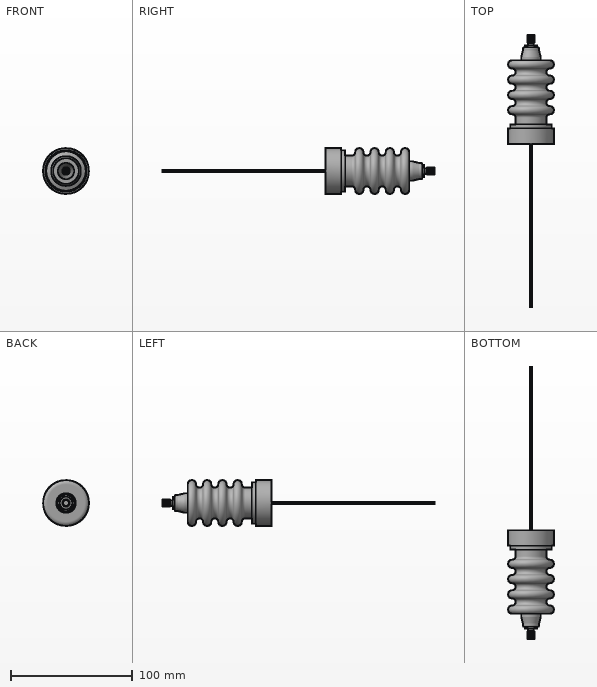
import cadquery as cq
import math

total_length = 225.3
stud_tip_y = 90.3
lead_tip_y = stud_tip_y - total_length

cup_diameter = 38.0
cup_radius = cup_diameter / 2
cup_height = 12.8
step_radius = 17.3
step_height = 3.4
step_top_y = cup_height + step_height
lip_recess_radius = 17.1
lip_recess_depth = 2.3
cavity_radius = 16.2

boss_face_y = 3.2
boss_face_radius = 10.5
boss_base_y = 11.3
boss_base_radius = 12.5
cavity_floor_y = 12.8

shed_count = 4
rim_width = 7.0
rim_radius = rim_width / 2
valley_radius = 2.7
shed_pitch = 12.6
rim_center_radius = cup_radius - rim_radius
core_radius = rim_center_radius - valley_radius
first_shed_y = 28.0
insulator_end_y = first_shed_y + (shed_count - 1) * shed_pitch + rim_radius

cap_radius = 8.0
cap_straight_length = 2.7
cap_straight_end_y = insulator_end_y + cap_straight_length
cap_nose_radius = 6.8
cap_taper_length = 5.5
cap_nose_y = cap_straight_end_y + cap_taper_length
cap_nose_length = 1.4
cap_round_y = cap_nose_y + cap_nose_length
cap_round = 1.4
washer_radius = 5.2
washer_y = cap_round_y + cap_round
washer_thickness = 1.4
washer_end_y = washer_y + washer_thickness

thread_diameter = 6.0
thread_radius = thread_diameter / 2
stud_root_radius = 2.5
thread_pitch = 1.0
thread_turns = 7

bore_mouth_radius = 6.8
bore_end_radius = 3.2
bore_depth = 33.8
bore_end_y = boss_face_y + bore_depth
lead_radius = 1.01
stud_end_length = 2.3
stud_end_y = bore_end_y - stud_end_length


def revolve_about_y(profile):
    return profile.close().revolve(360, (0, 0, 0), (0, 1, 0))


def make_body():
    """Cup, insulator, end cap and threaded stud."""
    profile = (
        cq.Workplane("XY")
        .moveTo(0, boss_face_y)
        .lineTo(boss_face_radius, boss_face_y)
        .lineTo(boss_base_radius, boss_base_y)
        .lineTo(cavity_radius, cavity_floor_y)
        .lineTo(cavity_radius, lip_recess_depth)
        .lineTo(lip_recess_radius, lip_recess_depth)
        .lineTo(lip_recess_radius, 0)
        .lineTo(cup_radius, 0)
        .lineTo(cup_radius, cup_height)
        .lineTo(step_radius, cup_height)
        .lineTo(step_radius, step_top_y)
        .lineTo(core_radius, step_top_y)
    )

    diagonal = valley_radius * math.sqrt(0.5)
    for shed in range(shed_count):
        rim_y = first_shed_y + shed * shed_pitch
        lower_valley_y = rim_y - rim_radius - valley_radius
        upper_valley_y = rim_y + rim_radius + valley_radius
        profile = profile.lineTo(core_radius, lower_valley_y).threePointArc(
            (rim_center_radius - diagonal, lower_valley_y + diagonal),
            (rim_center_radius, rim_y - rim_radius),
        ).threePointArc((cup_radius, rim_y), (rim_center_radius, rim_y + rim_radius))
        if shed < shed_count - 1:
            profile = profile.threePointArc(
                (rim_center_radius - diagonal, upper_valley_y - diagonal),
                (core_radius, upper_valley_y),
            )

    cap_round_diagonal = cap_round * math.sqrt(0.5)
    profile = (
        profile.lineTo(cap_radius, insulator_end_y)
        .lineTo(cap_radius, cap_straight_end_y)
        .lineTo(cap_nose_radius, cap_nose_y)
        .lineTo(cap_nose_radius, cap_round_y)
        .threePointArc(
            (cap_nose_radius - cap_round + cap_round_diagonal, cap_round_y + cap_round_diagonal),
            (cap_nose_radius - cap_round, washer_y),
        )
        .lineTo(washer_radius, washer_y)
        .lineTo(washer_radius, washer_end_y)
        .lineTo(stud_root_radius, washer_end_y)
    )

    thread_start_y = stud_tip_y - thread_turns * thread_pitch
    profile = profile.lineTo(stud_root_radius, thread_start_y)
    for turn in range(thread_turns):
        root_y = thread_start_y + turn * thread_pitch
        profile = profile.lineTo(thread_radius, root_y + thread_pitch / 2)
        profile = profile.lineTo(stud_root_radius, root_y + thread_pitch)
    return revolve_about_y(profile.lineTo(0, stud_tip_y))


def make_bore():
    """Tapered bore that opens on the boss face."""
    return revolve_about_y(
        cq.Workplane("XY")
        .moveTo(0, boss_face_y)
        .lineTo(bore_mouth_radius, boss_face_y)
        .lineTo(bore_end_radius, bore_end_y)
        .lineTo(0, bore_end_y)
    )


def make_lead():
    """Lead wire and the inner stud end that joins it to the bottom of the bore."""
    return revolve_about_y(
        cq.Workplane("XY")
        .moveTo(0, lead_tip_y)
        .lineTo(lead_radius, lead_tip_y)
        .lineTo(lead_radius, stud_end_y)
        .lineTo(stud_root_radius, stud_end_y)
        .lineTo(stud_root_radius, bore_end_y)
        .lineTo(0, bore_end_y)
    )


result = make_body().cut(make_bore()).union(make_lead())